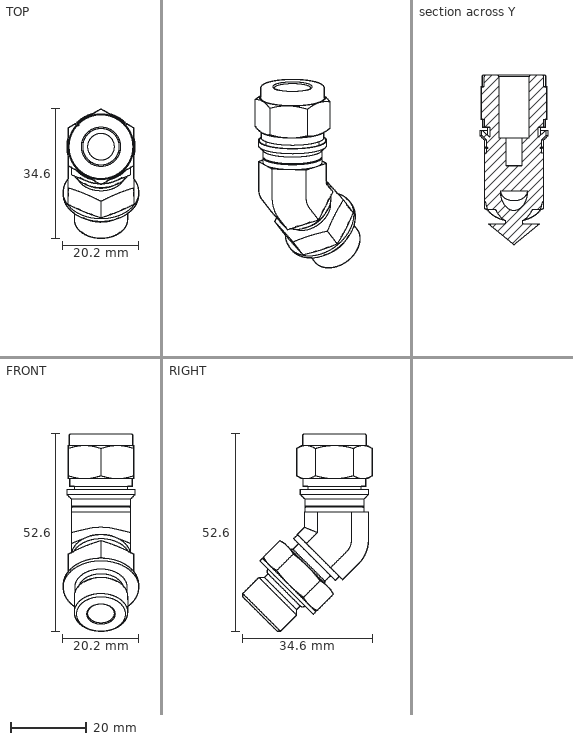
import cadquery as cq
import math

BEND_ANGLE = 45.0
TUBE_END = 28.2
STUD_END = 28.05

BODY_ACROSS_FLATS = 15.8
BODY_INNER_RADIUS = 8.02
BODY_TUBE_LENGTH = 7.38
BODY_STUD_LENGTH = 6.0

SHANK_DIAMETER = 15.8
GROOVE_DIAMETER = 15.2
GROOVE_BOTTOM = 8.7
FLANGE_DIAMETER = 18.25
FLANGE_BOTTOM = 12.05
FLANGE_TOP = 13.4
FLANGE_RIM_WIDTH = 0.25
TUBE_NECK_DIAMETER = 14.2
SKIRT_DIAMETER = 16.8
SKIRT_BOTTOM = 14.2
TUBE_NUT_BOTTOM = 16.25
TUBE_NUT_TOP = 25.1
RIM_DIAMETER = 17.0
RIM_FILLET = 0.45

COLLAR_DIAMETER = 15.8
COLLAR_END = 7.5
STUD_NECK_DIAMETER = 12.1
SEAT_DIAMETER = 13.05
STUD_NUT_START = 10.1
STUD_NUT_END = 17.05
WASHER_DIAMETER = 20.2
WASHER_END = 18.05
RING_RADIUS = 0.9
UNDERCUT_DIAMETER = 12.2
UNDERCUT_END = 20.3
THREAD_DIAMETER = 14.28
THREAD_END_DIAMETER = 13.05

NUT_ACROSS_FLATS = 17.5
TUBE_NUT_CHAMFER_ANGLE = 30.0
STUD_NUT_CHAMFER_ANGLE = 15.0

BORE_DIAMETER = 7.11
BORE_FLOOR = 4.0
BORE_MOUTH_CHAMFER = 0.25
SOCKET_DIAMETER = 9.73
SOCKET_DEPTH = 16.8
SOCKET_MOUTH_CHAMFER = 0.38


def turned(profile):
    """Solid of revolution about Z through (diameter, height) points."""
    rim = [(diameter / 2, height) for diameter, height in profile]
    outline = [(0, rim[0][1])] + rim + [(0, rim[-1][1])]
    return cq.Workplane("XZ").polyline(outline).close().revolve(360, (0, 0, 0), (0, 1, 0))


def across_corners(across_flats):
    return 2 * across_flats / math.sqrt(3)


def hexagon_prism(across_flats, start, end):
    """Hexagonal prism along Z with flats facing +X and -X."""
    plane = cq.Workplane("XY", origin=(0, 0, start)).transformed(rotate=(0, 0, 90))
    return plane.polygon(6, across_corners(across_flats)).extrude(end - start)


def hex_nut(start, end, chamfer_angle):
    """Hexagonal prism along Z with its corners turned off at both ends."""
    corner_diameter = across_corners(NUT_ACROSS_FLATS)
    drop = (corner_diameter - NUT_ACROSS_FLATS) / 2 * math.tan(math.radians(chamfer_angle))
    envelope = turned([
        (NUT_ACROSS_FLATS, start),
        (corner_diameter, start + drop),
        (corner_diameter, end - drop),
        (NUT_ACROSS_FLATS, end),
    ])
    return hexagon_prism(NUT_ACROSS_FLATS, start, end).intersect(envelope)


def to_stud_axis(shape):
    """Turn a shape built along +Z so that it lies along the stud axis."""
    return shape.rotate((0, 0, 0), (1, 0, 0), 180 - BEND_ANGLE)


def body_arm(length):
    """Hexagonal arm along Z with its -Y corner trimmed to a round about the axis."""
    size = across_corners(BODY_ACROSS_FLATS)
    flat_middle = BODY_ACROSS_FLATS / 2 * math.cos(math.radians(30))
    untrimmed = cq.Workplane("XY", origin=(0, -flat_middle, 0)).box(
        size, flat_middle + size, length, centered=(True, False, False)
    )
    rounding = cq.Workplane("XY").circle(BODY_INNER_RADIUS).extrude(length)
    return hexagon_prism(BODY_ACROSS_FLATS, 0, length).intersect(untrimmed.union(rounding))


def body_heel():
    """Outer half of the hexagon swung about X to close the outside of the bend."""
    half_width = BODY_ACROSS_FLATS / 2
    corner = across_corners(BODY_ACROSS_FLATS) / 2
    half_hexagon = [
        (-half_width, 0),
        (half_width, 0),
        (half_width, corner / 2),
        (0, corner),
        (-half_width, corner / 2),
    ]
    return cq.Workplane("XY").polyline(half_hexagon).close().revolve(BEND_ANGLE, (0, 0, 0), (-1, 0, 0))


def elbow_body():
    tube_side = body_arm(BODY_TUBE_LENGTH)
    stud_side = to_stud_axis(body_arm(BODY_STUD_LENGTH).mirror("XZ"))
    return tube_side.union(stud_side).union(body_heel())


def tube_arm():
    cone_height = (FLANGE_DIAMETER - SHANK_DIAMETER) / 2
    groove_height = (SHANK_DIAMETER - GROOVE_DIAMETER) / 2
    recess_diameter = FLANGE_DIAMETER - 2 * FLANGE_RIM_WIDTH
    recess_depth = (recess_diameter - TUBE_NECK_DIAMETER) / 2
    barrel = turned([
        (SHANK_DIAMETER, BODY_TUBE_LENGTH),
        (SHANK_DIAMETER, GROOVE_BOTTOM),
        (GROOVE_DIAMETER, GROOVE_BOTTOM),
        (SHANK_DIAMETER, GROOVE_BOTTOM + groove_height),
        (SHANK_DIAMETER, FLANGE_BOTTOM - cone_height),
        (FLANGE_DIAMETER, FLANGE_BOTTOM),
        (FLANGE_DIAMETER, FLANGE_TOP),
        (recess_diameter, FLANGE_TOP),
        (TUBE_NECK_DIAMETER, FLANGE_TOP - recess_depth),
        (TUBE_NECK_DIAMETER, SKIRT_BOTTOM),
        (SKIRT_DIAMETER, SKIRT_BOTTOM),
        (SKIRT_DIAMETER, TUBE_NUT_BOTTOM),
        (RIM_DIAMETER, TUBE_NUT_BOTTOM),
        (RIM_DIAMETER, TUBE_END),
    ]).faces(">Z").edges().fillet(RIM_FILLET)
    return barrel.union(hex_nut(TUBE_NUT_BOTTOM, TUBE_NUT_TOP, TUBE_NUT_CHAMFER_ANGLE))


def stud_ring():
    """Quarter-round ring between the washer face and the undercut."""
    inner = UNDERCUT_DIAMETER / 2
    outer = inner + RING_RADIUS
    ring_end = WASHER_END + RING_RADIUS
    diagonal = RING_RADIUS * math.sqrt(0.5)
    section = (
        cq.Workplane("XZ")
        .moveTo(0, WASHER_END)
        .lineTo(outer, WASHER_END)
        .threePointArc((inner + diagonal, WASHER_END + diagonal), (inner, ring_end))
        .lineTo(0, ring_end)
        .close()
    )
    return section.revolve(360, (0, 0, 0), (0, 1, 0))


def stud_arm():
    """Stud end built along +Z."""
    seat_height = (SEAT_DIAMETER - STUD_NECK_DIAMETER) / 2
    thread_lead = (THREAD_DIAMETER - UNDERCUT_DIAMETER) / 2
    end_chamfer = (THREAD_DIAMETER - THREAD_END_DIAMETER) / 2
    barrel = turned([
        (COLLAR_DIAMETER, BODY_STUD_LENGTH),
        (COLLAR_DIAMETER, COLLAR_END),
        (STUD_NECK_DIAMETER, COLLAR_END),
        (STUD_NECK_DIAMETER, STUD_NUT_START - seat_height),
        (SEAT_DIAMETER, STUD_NUT_START),
        (SEAT_DIAMETER, STUD_NUT_END),
        (WASHER_DIAMETER, STUD_NUT_END),
        (WASHER_DIAMETER, WASHER_END),
        (UNDERCUT_DIAMETER, WASHER_END),
        (UNDERCUT_DIAMETER, UNDERCUT_END),
        (THREAD_DIAMETER, UNDERCUT_END + thread_lead),
        (THREAD_DIAMETER, STUD_END - end_chamfer),
        (THREAD_END_DIAMETER, STUD_END),
    ])
    nut = hex_nut(STUD_NUT_START, STUD_NUT_END, STUD_NUT_CHAMFER_ANGLE)
    return barrel.union(nut).union(stud_ring())


def tube_bore():
    """Tube socket with a narrower blind bore below it."""
    socket_floor = TUBE_END - SOCKET_DEPTH
    return turned([
        (BORE_DIAMETER, BORE_FLOOR),
        (BORE_DIAMETER, socket_floor),
        (SOCKET_DIAMETER, socket_floor),
        (SOCKET_DIAMETER, TUBE_END - SOCKET_MOUTH_CHAMFER),
        (SOCKET_DIAMETER + 2 * SOCKET_MOUTH_CHAMFER, TUBE_END),
    ])


def stud_bore():
    """Blind bore of the stud, built along +Z."""
    return turned([
        (BORE_DIAMETER, BORE_FLOOR),
        (BORE_DIAMETER, STUD_END - BORE_MOUTH_CHAMFER),
        (BORE_DIAMETER + 2 * BORE_MOUTH_CHAMFER, STUD_END),
    ])


fitting = elbow_body().union(tube_arm()).union(to_stud_axis(stud_arm()))
result = fitting.cut(tube_bore()).cut(to_stud_axis(stud_bore()))